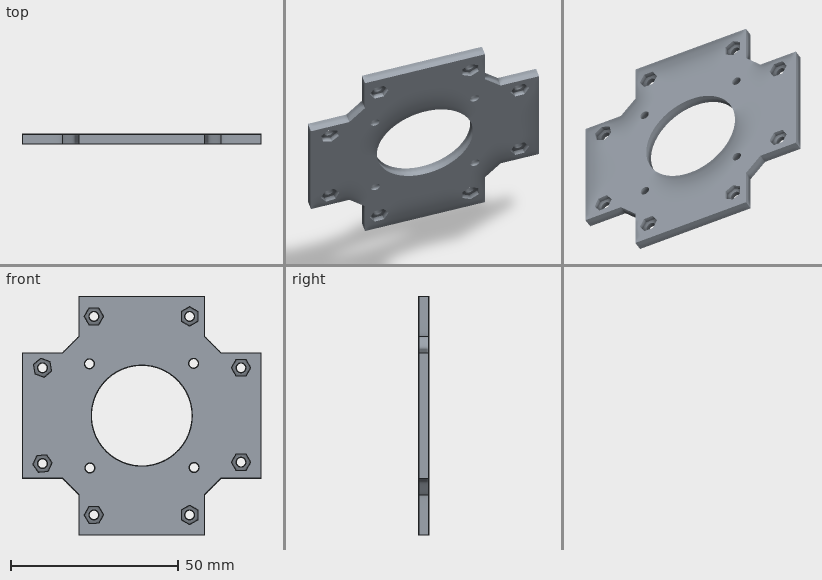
import cadquery as cq
import math

span = 71.3
thickness = 3.0
arm_width = 37.5
corner_chamfer = 4.9

bore_diameter = 30.07
hole_diameter = 2.85
ring_radius = 22.0
ring_hole_count = 4
ring_start_angle = 45.25

screw_edge_distance = 6.0
screw_side_offset = 14.3
low_screw_offset = 13.9
screw_end_offset = span / 2 - screw_edge_distance
nut_sides = 6
nut_across_flats = 5.0
nut_across_corners = nut_across_flats / math.cos(math.pi / nut_sides)
nut_pocket_depth = 1.5

nut_positions = [
    (-screw_side_offset, screw_end_offset, 0),
    (screw_side_offset, screw_end_offset, 30),
    (screw_end_offset, screw_side_offset, 0),
    (screw_end_offset, -low_screw_offset, 0),
    (screw_side_offset, -screw_end_offset, 30),
    (-screw_side_offset, -screw_end_offset, 1),
    (-screw_end_offset, -screw_side_offset, 5),
    (-screw_end_offset, screw_side_offset, 40),
]


def front_plane():
    """XZ sketch on the front face (y = 0); negative extrusions run toward +Y, into the plate."""
    return cq.Workplane("XZ")


def cross_plate():
    """Plus-shaped plate with a sloped web across each inside corner."""
    horizontal_arm = front_plane().rect(span, arm_width).extrude(-thickness)
    vertical_arm = front_plane().rect(arm_width, span).extrude(-thickness)
    web_size = arm_width + 2 * corner_chamfer
    web = (
        front_plane()
        .rect(web_size, web_size)
        .extrude(-thickness)
        .edges("|Y")
        .chamfer(corner_chamfer)
    )
    return horizontal_arm.union(vertical_arm).union(web).clean()


def through_hole(x, z, diameter):
    return front_plane().center(x, z).circle(diameter / 2).extrude(-thickness)


def ring_holes():
    return (
        front_plane()
        .polarArray(ring_radius, ring_start_angle, 360, ring_hole_count)
        .circle(hole_diameter / 2)
        .extrude(-thickness)
    )


def nut_pocket(x, z, corner_angle):
    """Hexagonal recess sunk from the front face, turned about its own centre."""
    return (
        front_plane()
        .center(x, z)
        .transformed(rotate=(0, 0, corner_angle))
        .polygon(nut_sides, nut_across_corners)
        .extrude(-nut_pocket_depth)
    )


result = cross_plate().cut(through_hole(0, 0, bore_diameter)).cut(ring_holes())
for x, z, corner_angle in nut_positions:
    result = result.cut(through_hole(x, z, hole_diameter))
    result = result.cut(nut_pocket(x, z, corner_angle))